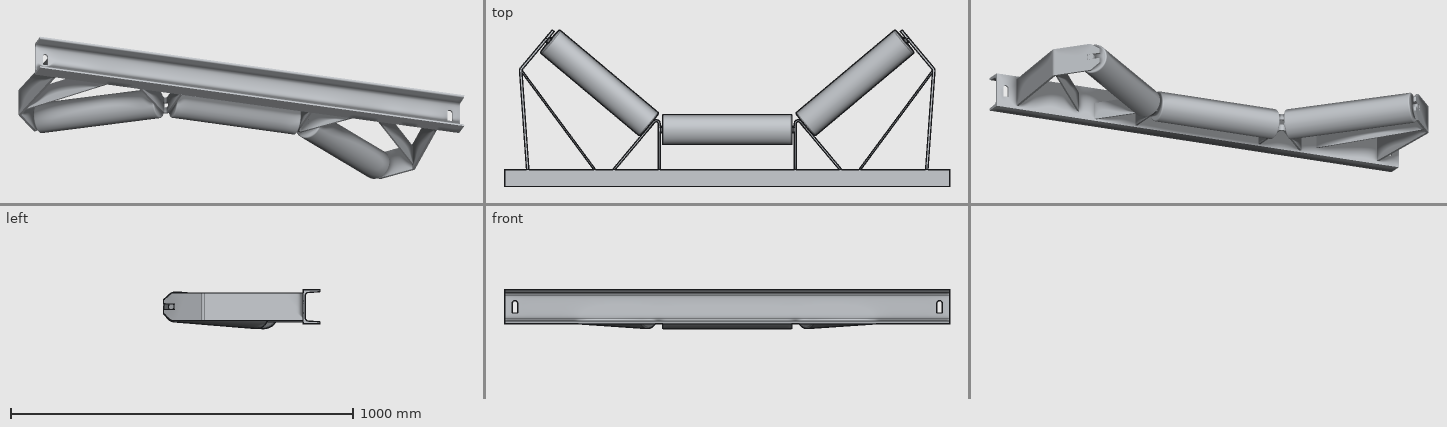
import cadquery as cq
import math

BEAM_LENGTH = 1300.0
BEAM_HEIGHT = 100.0
BEAM_DEPTH = 50.0
BEAM_TOP = 115.0
BEAM_MID_Z = BEAM_TOP - BEAM_HEIGHT / 2
WEB_THICKNESS = 6.0
FLANGE_TIP = 6.0
FLANGE_ROOT = 9.0
ROOT_RADIUS = 8.0
TIP_RADIUS = 4.0

MOUNT_SLOT_X = 620.0
MOUNT_SLOT_LENGTH = 35.0
MOUNT_SLOT_WIDTH = 15.0

ROLLER_RADIUS = 44.0
ROLLER_LENGTH = 380.0
ROLLER_EDGE_RADIUS = 4.0
CENTRE_ROLLER_Y = 166.0
CENTRE_ROLLER_Z = ROLLER_RADIUS
WING_ANGLE = math.radians(40)
WING_TILT = math.radians(3)
WING_MID_X = -373.0
WING_MID_Y = 303.0
WING_MID_Z = CENTRE_ROLLER_Z + ROLLER_LENGTH / 2 * math.sin(WING_TILT)

SHAFT_RADIUS = 10.0
FLAT_WIDTH = 15.0
WING_OUTER_STANDOFF = 12.0
WING_INNER_STANDOFF = 5.0
CENTRE_STANDOFF = 9.0

OUTER_THICKNESS = 8.0
INNER_THICKNESS = 6.0
OUTER_HEIGHT = 80.0
INNER_HEIGHT = 50.0
BEND_RADIUS = 5.0
OUTER_FOOT_X = -582.0
OUTER_TIP_REACH = 30.0
OUTER_BEND_REACH = 118.0
OUTER_TIP_CHAMFER_LENGTH = 30.0
OUTER_TIP_CHAMFER_HEIGHT = 20.0
BRACE_FOOT_X = -382.0
BRACE_HEIGHT = 57.0
BRACE_THICKNESS = 5.0

WING_OUTER_OVERHANG = WING_OUTER_STANDOFF + OUTER_THICKNESS / 2
WING_INNER_OVERHANG = WING_INNER_STANDOFF + INNER_THICKNESS / 2
CENTRE_OVERHANG = CENTRE_STANDOFF + INNER_THICKNESS / 2

ALONG_X = math.cos(WING_ANGLE)
ALONG_Y = -math.sin(WING_ANGLE)
ACROSS_X = math.sin(WING_ANGLE)
ACROSS_Y = math.cos(WING_ANGLE)

CENTRE_FRAME = cq.Plane(
    origin=(0, CENTRE_ROLLER_Y, CENTRE_ROLLER_Z), xDir=(0, 1, 0), normal=(1, 0, 0)
)
WING_FRAME = cq.Plane(
    origin=(WING_MID_X, WING_MID_Y, WING_MID_Z),
    xDir=(ACROSS_X, ACROSS_Y, 0),
    normal=(
        ALONG_X * math.cos(WING_TILT),
        ALONG_Y * math.cos(WING_TILT),
        -math.sin(WING_TILT),
    ),
)


def wing_point(along, across):
    """Plan position measured from the middle of the left wing roller."""
    return (
        WING_MID_X + along * ALONG_X + across * ACROSS_X,
        WING_MID_Y + along * ALONG_Y + across * ACROSS_Y,
    )


STRAP_OUTER_ALONG = -ROLLER_LENGTH / 2 - WING_OUTER_STANDOFF
STRAP_INNER_ALONG = ROLLER_LENGTH / 2 + WING_INNER_STANDOFF
OUTER_BEND = wing_point(STRAP_OUTER_ALONG, -OUTER_BEND_REACH)
FOOT_Y = BEAM_DEPTH - WEB_THICKNESS


def with_mirror_copy(body):
    """A left-hand body and its right-hand copy."""
    return [body.solids().val(), body.mirror("YZ").solids().val()]


def make_mount_slot(x):
    """Cutter for one mounting slot, centred at this x and at zero height."""
    half_length = MOUNT_SLOT_LENGTH / 2
    half_width = MOUNT_SLOT_WIDTH / 2
    return (
        cq.Workplane("XZ")
        .moveTo(x - half_width, -half_length)
        .lineTo(x + half_width, -half_length)
        .lineTo(x + half_width, half_length - half_width)
        .threePointArc((x, half_length), (x - half_width, half_length - half_width))
        .close()
        .extrude(-BEAM_DEPTH)
    )


def make_beam():
    """Channel with tapered flanges and a mounting slot near each end."""
    half = BEAM_HEIGHT / 2
    upper = [
        (BEAM_DEPTH, half),
        (0, half),
        (0, half - FLANGE_TIP),
        (BEAM_DEPTH - WEB_THICKNESS, half - FLANGE_ROOT),
    ]
    lower = [(y, -z) for y, z in reversed(upper)]
    beam = (
        cq.Workplane("YZ")
        .polyline(upper + lower)
        .close()
        .extrude(BEAM_LENGTH / 2, both=True)
    )
    for y, z in (upper[3], lower[0]):
        beam = beam.edges(cq.NearestToPointSelector((0, y, z))).fillet(ROOT_RADIUS)
    for y, z in (upper[2], lower[1]):
        beam = beam.edges(cq.NearestToPointSelector((0, y, z))).fillet(TIP_RADIUS)
    for x in (-MOUNT_SLOT_X, MOUNT_SLOT_X):
        beam = beam.cut(make_mount_slot(x))
    return beam.translate((0, 0, BEAM_MID_Z))


def make_roller(frame, start_overhang, end_overhang):
    """A roller whose flattened shaft sticks out of its ends by the two overhangs."""
    shell = (
        cq.Workplane(frame)
        .workplane(offset=-ROLLER_LENGTH / 2)
        .circle(ROLLER_RADIUS)
        .extrude(ROLLER_LENGTH)
        .edges("%CIRCLE")
        .fillet(ROLLER_EDGE_RADIUS)
    )
    start = ROLLER_LENGTH / 2 + start_overhang
    end = ROLLER_LENGTH / 2 + end_overhang
    shaft = cq.Workplane(frame).workplane(offset=-start).circle(SHAFT_RADIUS).extrude(start + end)
    flats = (
        cq.Workplane(frame)
        .workplane(offset=-start)
        .rect(2 * SHAFT_RADIUS, FLAT_WIDTH)
        .extrude(start + end)
    )
    return shell.union(shaft.intersect(flats))


def make_shaft_slot(frame, offset, reach, thickness):
    """Cutter for an open slot that holds a flattened shaft end at this offset along the roller."""
    return (
        cq.Workplane(frame)
        .workplane(offset=offset)
        .center((reach - SHAFT_RADIUS) / 2, 0)
        .rect(reach + SHAFT_RADIUS, FLAT_WIDTH)
        .extrude(thickness, both=True)
    )


def make_bent_strap(start, bend, end, thickness, height, middle_z):
    """Upright strap along the plan centreline start-bend-end, rounded at the bend."""
    angle_in = math.atan2(bend[1] - start[1], bend[0] - start[0])
    angle_out = math.atan2(end[1] - bend[1], end[0] - bend[0])
    half_turn = math.remainder(angle_out - angle_in, 2 * math.pi) / 2
    half = thickness / 2
    mitre = half / math.cos(half_turn)

    def offset_point(point, direction, distance):
        return (point[0] - distance * math.sin(direction), point[1] + distance * math.cos(direction))

    left = [
        offset_point(start, angle_in, half),
        offset_point(bend, angle_in + half_turn, mitre),
        offset_point(end, angle_out, half),
    ]
    right = [
        offset_point(start, angle_in, -half),
        offset_point(bend, angle_in + half_turn, -mitre),
        offset_point(end, angle_out, -half),
    ]
    inside, outside = (left[1], right[1]) if half_turn > 0 else (right[1], left[1])
    strap = (
        cq.Workplane("XY")
        .polyline(left + right[::-1])
        .close()
        .extrude(height / 2, both=True)
    )
    for corner, radius in ((inside, BEND_RADIUS), (outside, BEND_RADIUS + thickness)):
        strap = strap.edges(cq.NearestToPointSelector((*corner, 0))).fillet(radius)
    return strap.translate((0, 0, middle_z))


def trim_at_beam(body):
    """Cut the foot of a strap flush with the back of the beam web."""
    envelope = cq.Workplane("XY").box(
        BEAM_LENGTH, BEAM_DEPTH, BEAM_HEIGHT, centered=(True, False, False)
    )
    return body.cut(envelope.translate((0, 0, BEAM_TOP - BEAM_HEIGHT)))


def make_tip_chamfers(tip):
    """Cutter for the upper and lower corners of the outer bracket tip."""
    frame = cq.Plane(
        origin=(*tip, BEAM_MID_Z), xDir=(ACROSS_X, ACROSS_Y, 0), normal=(ALONG_X, ALONG_Y, 0)
    )
    cutter = cq.Workplane(frame)
    for edge, inward in ((OUTER_HEIGHT / 2, -1), (-OUTER_HEIGHT / 2, 1)):
        corner = [
            (0, edge),
            (-OUTER_TIP_CHAMFER_LENGTH, edge),
            (0, edge + inward * OUTER_TIP_CHAMFER_HEIGHT),
        ]
        cutter = cutter.polyline(corner).close()
    return cutter.extrude(OUTER_THICKNESS, both=True)


def make_outer_bracket():
    """Strap from the beam up to the outer end of the left wing roller."""
    tip = wing_point(STRAP_OUTER_ALONG, OUTER_TIP_REACH)
    bracket = make_bent_strap(
        (OUTER_FOOT_X, FOOT_Y), OUTER_BEND, tip, OUTER_THICKNESS, OUTER_HEIGHT, BEAM_MID_Z
    )
    bracket = bracket.cut(make_tip_chamfers(tip))
    slot = make_shaft_slot(WING_FRAME, STRAP_OUTER_ALONG, 2 * OUTER_TIP_REACH, OUTER_THICKNESS)
    return trim_at_beam(bracket.cut(slot))


def make_inner_bracket():
    """Strap folded over to carry the centre roller and the inner end of the left wing roller."""
    plate_x = -ROLLER_LENGTH / 2 - CENTRE_STANDOFF
    strap_x, strap_y = wing_point(STRAP_INNER_ALONG, 0)
    slope = ACROSS_Y / ACROSS_X
    foot = (strap_x - (strap_y - FOOT_Y) / slope, FOOT_Y)
    bend = (plate_x, strap_y + (plate_x - strap_x) * slope)
    bracket = make_bent_strap(
        (plate_x, FOOT_Y), bend, foot, INNER_THICKNESS, INNER_HEIGHT, CENTRE_ROLLER_Z
    )
    reach = bend[1] - CENTRE_ROLLER_Y
    for frame, offset in ((CENTRE_FRAME, plate_x), (WING_FRAME, STRAP_INNER_ALONG)):
        bracket = bracket.cut(make_shaft_slot(frame, offset, reach, INNER_THICKNESS))
    return trim_at_beam(bracket)


def make_brace(bracket):
    """Straight strap from the outer bracket bend down to the beam."""
    run_x = BRACE_FOOT_X - OUTER_BEND[0]
    run_y = FOOT_Y - OUTER_BEND[1]
    length = math.hypot(run_x, run_y)
    brace = (
        cq.Workplane("XY")
        .box(length, BRACE_THICKNESS, BRACE_HEIGHT, centered=(False, True, True))
        .rotate((0, 0, 0), (0, 0, 1), math.degrees(math.atan2(run_y, run_x)))
        .translate((*OUTER_BEND, BEAM_MID_Z))
    )
    return trim_at_beam(brace.cut(bracket))


beam = make_beam()
centre_roller = make_roller(CENTRE_FRAME, CENTRE_OVERHANG, CENTRE_OVERHANG)
wing_roller = make_roller(WING_FRAME, WING_OUTER_OVERHANG, WING_INNER_OVERHANG)
outer_bracket = make_outer_bracket()
inner_bracket = make_inner_bracket()
brace = make_brace(outer_bracket)

bodies = [beam.solids().val(), centre_roller.solids().val()]
for left_body in (wing_roller, outer_bracket, inner_bracket, brace):
    bodies += with_mirror_copy(left_body)

result = cq.Compound.makeCompound(bodies)